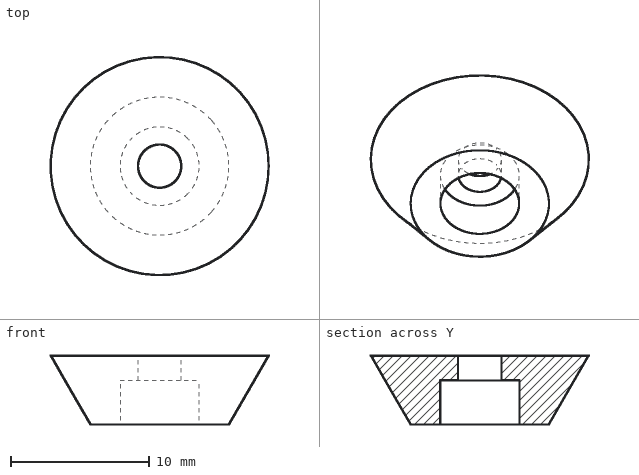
import cadquery as cq
import math

top_diameter = 15.77
height = 5.0
wall_angle = 30.0
hole_diameter = 3.1
counterbore_diameter = 5.7
hole_land = 1.8

top_radius = top_diameter / 2
bottom_radius = top_radius - height * math.tan(math.radians(wall_angle))
hole_radius = hole_diameter / 2
counterbore_radius = counterbore_diameter / 2
counterbore_depth = height - hole_land

half_section = (
    cq.Workplane("XZ")
    .moveTo(counterbore_radius, 0)
    .lineTo(bottom_radius, 0)
    .lineTo(top_radius, height)
    .lineTo(hole_radius, height)
    .lineTo(hole_radius, counterbore_depth)
    .lineTo(counterbore_radius, counterbore_depth)
    .close()
)

result = half_section.revolve(360, (0, 0, 0), (0, 1, 0))